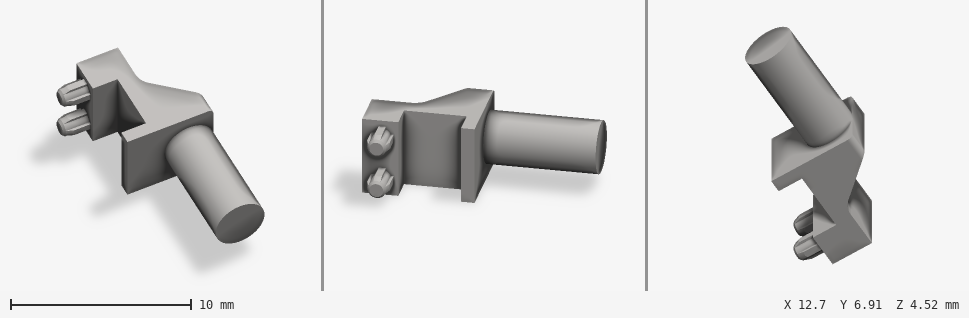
import cadquery as cq
import math

total_length = 12.7
block_length = 6.35
block_height = 4.52
block_depth = 5.31

foot_width = 2.05
foot_depth = 2.57
rear_leg_width = 0.76
recess_depth = 1.52
top_land_width = 1.26
slope_angle = 49.0
slope_blend_radius = 1.14
back_corner_radius = 0.34

barrel_diameter = 3.01

pin_length = 1.6
pin_spacing = 2.54
pin_x = 1.14
core_radius = 0.52
tip_radius = 0.4
tip_chamfer_length = 0.14
rib_span = 1.28
rib_width = 0.41
rib_straight_length = 1.1


def make_block():
    """Stepped, sloped block with a recess between its foot and rear leg."""
    slope_top_x = block_length - top_land_width
    slope_run = (block_depth - foot_depth) / math.tan(math.radians(slope_angle))
    slope_base = (slope_top_x - slope_run, foot_depth)
    leg_x = block_length - rear_leg_width
    outline = [
        (0, 0),
        (foot_width, 0),
        (foot_width, recess_depth),
        (leg_x, recess_depth),
        (leg_x, 0),
        (block_length, 0),
        (block_length, block_depth),
        (slope_top_x, block_depth),
        slope_base,
        (0, foot_depth),
    ]
    block = (
        cq.Workplane("XY")
        .polyline(outline)
        .close()
        .extrude(block_height / 2, both=True)
    )
    block = block.edges(cq.NearestToPointSelector((*slope_base, 0))).fillet(slope_blend_radius)

    rounded_envelope = (
        cq.Workplane("YZ")
        .rect(2 * block_depth, block_height)
        .extrude(block_length)
        .edges("|X and >Y")
        .fillet(back_corner_radius)
    )
    return block.intersect(rounded_envelope)


def make_barrel():
    """Cylinder flush with the back of the block."""
    return (
        cq.Workplane("YZ", origin=(block_length, block_depth - barrel_diameter / 2, 0))
        .circle(barrel_diameter / 2)
        .extrude(total_length - block_length)
    )


def make_pin(z):
    """Chamfered round pin with four ribs that taper conically into its core."""
    core_end = pin_length - tip_chamfer_length
    taper_slope = (rib_span / 2 - core_radius) / (core_end - rib_straight_length)
    envelope_base_radius = core_radius + taper_slope * core_end

    base = cq.Workplane("XZ", origin=(pin_x, 0, z))
    cross_section = base.circle(core_radius).extrude(pin_length)
    for width, height in ((rib_span, rib_width), (rib_width, rib_span)):
        cross_section = cross_section.union(base.rect(width, height).extrude(pin_length))

    envelope = (
        cq.Workplane("XY", origin=(pin_x, 0, z))
        .polyline([
            (0, 0),
            (envelope_base_radius, 0),
            (core_radius, -core_end),
            (tip_radius, -pin_length),
            (0, -pin_length),
        ])
        .close()
        .revolve(360, (0, 0), (0, 1))
    )
    return cross_section.intersect(envelope)


result = make_block().union(make_barrel())
for pin_z in (-pin_spacing / 2, pin_spacing / 2):
    result = result.union(make_pin(pin_z))